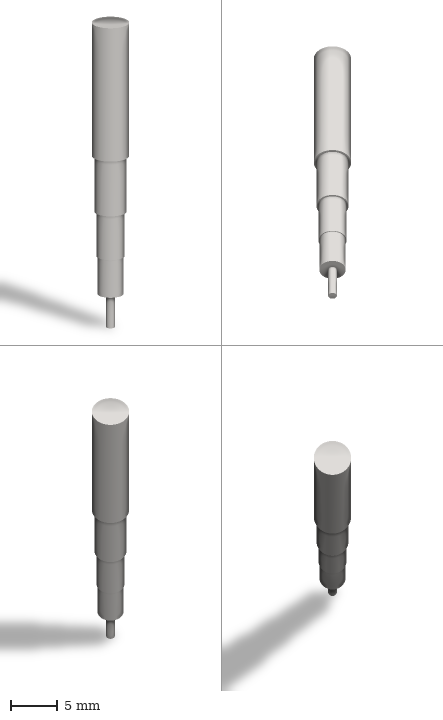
import cadquery as cq

CONDUCTOR = (0.94, 3.81)
DIELECTRIC = (2.87, 4.32)
FOIL = (3.07, 5.08)
BRAID = (3.50, 6.35)
JACKET = (4.06, 15.24)
LAYERS = [CONDUCTOR, DIELECTRIC, FOIL, BRAID, JACKET]


def stack_layers(layers):
    """Stack coaxial cylinders along +Z, starting at Z = 0."""
    body = cq.Workplane("XY")
    base_z = 0.0
    for diameter, length in layers:
        cylinder = cq.Workplane("XY").workplane(offset=base_z).circle(diameter / 2).extrude(length)
        body = body.add(cylinder)
        base_z += length
    return body.combine()


result = stack_layers(LAYERS)